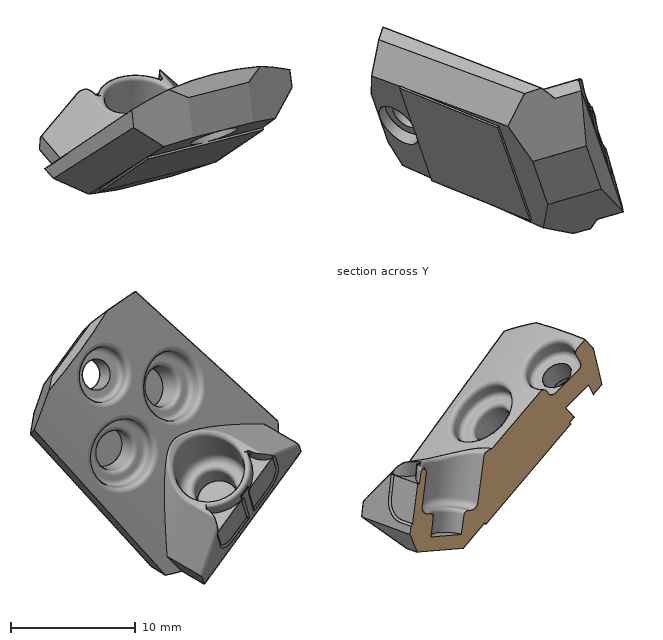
import cadquery as cq
import math

TURN_ANGLE = 10.0
PLATE_ANGLE = 40.0
FOOT_ANGLE = 8.5
FAR = 59.76

PLATE_START = -13.95
PLATE_CREST = 0.82
CROWN_RADIUS = 26.9
PLATE_BOTTOM = -3.57
PLATE_HALF_WIDTH = 7.65
FLANK_TAPER = 2.6
FLANK_LOW = -1.5
UNDER_CHAMFER_RUN = 2.15
TIP_X = 11.1
TIP_CHAMFER_Z = -0.54
TIP_BOTTOM_X = 9.62
TIP_HALF_WIDTH = 2.75
CORNER_BOTTOM = (8.85, 4.96)
PLATE_RIM_ROUND = 0.35

PAD_THICKNESS = 0.18
PAD_X = (-5.1, 5.55)
PAD_WIDTH = 10.55

FOOT_FRONT = -7.95
FOOT_BOTTOM = -8.2
FOOT_HALF_WIDTH = 6.9
FOOT_FLAT_HALF_WIDTH = 2.45
FOOT_SIDE_SLOPE = 19.7
FRONT_CHAMFER_TOP = -6.63
FRONT_CHAMFER_RUN = 0.95
WALL_TOP = -5.2
BOSS_TOP = -1.15
PEAK = 0.2
PEAK_HALF_WIDTH = 2.15
PEAK_REACH = 3.43
SADDLE_X = -4.98
BOSS_X = -4.48
EDGE_ROUND = 0.24
RIM_ROUND = 0.3

BORE_DIAMETER = 3.3
BORE_MOUTH_DIAMETER = 4.0
COUNTERBORE_DIAMETER = 5.62
PAIR_X = 2.17
PAIR_Y = 3.57
PAIR_MOUTH = 0.55
PAIR_LEAN = 8.0
PAIR_COUNTERBORE_DEPTH = 1.45
PAIR_BORE_DEPTH = 2.2
PLATE_FLOOR_ROUND = 0.4
TIP_HOLE_X = 8.0
TIP_BORE_DIAMETER = 2.5
TIP_COUNTERBORE_DIAMETER = 4.46
TIP_COUNTERBORE_DEPTH = 1.45
TIP_BORE_DEPTH = 1.83
TIP_HOLE_LEAN = 6.0
TIP_RELIEF_DIAMETER = 4.0
FOOT_COUNTERBORE_FLOOR = -4.98
FOOT_BORE_FLOOR = -6.97
FOOT_FLOOR_ROUND = 0.6

LEDGE = -2.35
RING_RADIUS = 3.39
CORNER_FRONT = 3.98
CORNER_BEND = (-7.3, 3.3)
CORNER_BACK = (-6.27, 3.03)
RIDGE_TOP = -1.6
RIDGE_CUT_LENGTH = 2.0
RIDGE_CUT_WIDTH = 3.98
PANEL_DEPTH = 0.12
PANEL_INNER = 0.5
PANEL_OUTER = 3.92
PANEL_BOTTOM = -5.74
PANEL_ROUND = 1.4
PANEL_FLARE = 60.0


def trim(body, point, outward):
    """Remove everything on the outward side of a plane."""
    return body.cut(cq.Workplane(cq.Plane(point, normal=outward)).rect(FAR, FAR).extrude(FAR))


def tilt(body, angle):
    return body.rotate((0, 0, 0), (0, 1, 0), angle)


def trim_plate_underside(body):
    """Flat bottom and the sloping chamfers below both flanks."""
    body = trim(body, (0, 0, PLATE_BOTTOM), (0, 0, -1))
    edge = cq.Vector(0, PLATE_HALF_WIDTH, FLANK_LOW)
    along = cq.Vector(1, -math.tan(math.radians(FLANK_TAPER)), 0)
    down = cq.Vector(0, -UNDER_CHAMFER_RUN, PLATE_BOTTOM - FLANK_LOW)
    outward = along.cross(down)
    for side in (1, -1):
        body = trim(body, (0, side * edge.y, edge.z), (outward.x, side * outward.y, outward.z))
    return body


def make_plate():
    """Crowned plate with tapering flanks, a leaning tip and oblique end faces."""
    half = FAR / 6
    shoulder = PLATE_CREST - CROWN_RADIUS + math.sqrt(CROWN_RADIUS**2 - half**2)
    plate = (
        cq.Workplane("YZ", origin=(PLATE_START, 0, 0))
        .moveTo(-half, 2 * PLATE_BOTTOM)
        .lineTo(half, 2 * PLATE_BOTTOM)
        .lineTo(half, shoulder)
        .threePointArc((0, PLATE_CREST), (-half, shoulder))
        .close()
        .extrude(TIP_X - PLATE_START)
    )
    taper = math.radians(FLANK_TAPER)
    tip_drop = TIP_CHAMFER_Z - PLATE_BOTTOM
    tip_lean = TIP_X - TIP_BOTTOM_X
    plate = trim(plate, (TIP_BOTTOM_X, 0, PLATE_BOTTOM), (tip_drop, 0, -tip_lean))
    bottom_edge = cq.Vector(CORNER_BOTTOM[0] - TIP_BOTTOM_X, CORNER_BOTTOM[1] - TIP_HALF_WIDTH, 0)
    outward = bottom_edge.cross(cq.Vector(tip_lean, 0, tip_drop))
    for side in (1, -1):
        plate = trim(plate, (0, side * PLATE_HALF_WIDTH, 0), (math.sin(taper), side * math.cos(taper), 0))
        corner = (TIP_BOTTOM_X, side * TIP_HALF_WIDTH, PLATE_BOTTOM)
        plate = trim(plate, corner, (outward.x, side * outward.y, outward.z))
    return plate


def make_pad():
    """Thin raised pad on the underside of the plate."""
    length = PAD_X[1] - PAD_X[0]
    middle = (PAD_X[0] + PAD_X[1]) / 2
    pad = cq.Workplane("XY", origin=(middle, 0, PLATE_BOTTOM - PAD_THICKNESS))
    return pad.rect(length, PAD_WIDTH).extrude(2 * PAD_THICKNESS)


def foot_outline(half_width, reach, height):
    """Straight-sided outline with an elliptical back that starts beside the foot hole."""
    return (
        cq.Workplane("XY", origin=(0, 0, height))
        .moveTo(FOOT_FRONT, -half_width)
        .lineTo(BOSS_X, -half_width)
        .ellipseArc(reach, half_width, -90, 90, sense=1)
        .lineTo(FOOT_FRONT, half_width)
        .close()
    )


def make_foot():
    """Upright base, flared boss above it, and the saddle that shapes the top of the boss."""
    base = foot_outline(FOOT_HALF_WIDTH, FOOT_HALF_WIDTH, 2 * FOOT_BOTTOM)
    base = base.extrude(WALL_TOP - 2 * FOOT_BOTTOM)
    low = foot_outline(FOOT_HALF_WIDTH, FOOT_HALF_WIDTH, WALL_TOP).wires().val()
    high = foot_outline(PEAK_HALF_WIDTH, PEAK_REACH, PEAK).wires().val()
    boss = cq.Workplane(cq.Solid.makeLoft([low, high], True))
    saddle = (
        cq.Workplane("XZ", origin=(0, FAR / 2, 0))
        .moveTo(2 * FOOT_FRONT, BOSS_TOP)
        .lineTo(SADDLE_X, BOSS_TOP)
        .tangentArcPoint((BOSS_X + PEAK_REACH, PEAK), relative=False)
        .lineTo(BOSS_X + PEAK_REACH, FAR)
        .lineTo(2 * FOOT_FRONT, FAR)
        .close()
        .extrude(FAR)
    )
    return base.union(boss.cut(saddle))


def trim_foot_underside(body):
    """Flat bottom, front chamfer and the two sloping sides below the foot."""
    body = trim(body, (0, 0, FOOT_BOTTOM), (0, 0, -1))
    chamfer_height = FRONT_CHAMFER_TOP - FOOT_BOTTOM
    body = trim(body, (FOOT_FRONT, 0, FRONT_CHAMFER_TOP), (-chamfer_height, 0, -FRONT_CHAMFER_RUN))
    slope = math.radians(FOOT_SIDE_SLOPE)
    for side in (1, -1):
        body = trim(
            body,
            (0, side * FOOT_FLAT_HALF_WIDTH, FOOT_BOTTOM),
            (0, side * math.sin(slope), -math.cos(slope)),
        )
    return body


def stepped_hole(bore, bore_mouth, counterbore, counterbore_depth, total_depth, floor_round):
    """Cutter with its mouth at the origin: rounded counterbore floor, rounded bore mouth."""
    mouth_round = (bore_mouth - bore) / 2
    radius = counterbore / 2
    cutter = cq.Workplane("XY").circle(radius).extrude(-counterbore_depth)
    cutter = cutter.faces("<Z").edges().fillet(floor_round)
    cutter = cutter.union(cq.Workplane("XY").circle(radius).extrude(FAR / 10))
    bore_body = cq.Workplane("XY", origin=(0, 0, -counterbore_depth)).circle(bore / 2)
    cutter = cutter.union(bore_body.extrude(counterbore_depth - total_depth))
    if mouth_round > 0:
        flare = (
            cq.Workplane("XZ", origin=(0, 0, -counterbore_depth))
            .lineTo(bore_mouth / 2, 0)
            .radiusArc((bore / 2, -mouth_round), -mouth_round)
            .lineTo(0, -mouth_round)
            .close()
            .revolve(360, (0, 0), (0, 1))
        )
        cutter = cutter.union(flare)
    return cutter


def cut_plate_holes(body):
    """Two blind stepped holes side by side and a through hole near the tip."""
    pair = stepped_hole(
        BORE_DIAMETER,
        BORE_MOUTH_DIAMETER,
        COUNTERBORE_DIAMETER,
        PAIR_COUNTERBORE_DEPTH,
        PAIR_COUNTERBORE_DEPTH + PAIR_BORE_DEPTH,
        PLATE_FLOOR_ROUND,
    )
    for side in (1, -1):
        hole = pair.rotate((0, 0, 0), (1, 0, 0), -side * PAIR_LEAN)
        body = body.cut(hole.translate((PAIR_X, side * PAIR_Y, PAIR_MOUTH)))
    through = 2 * (PLATE_CREST - PLATE_BOTTOM)
    tip_hole = stepped_hole(
        TIP_BORE_DIAMETER,
        TIP_BORE_DIAMETER,
        TIP_COUNTERBORE_DIAMETER,
        TIP_COUNTERBORE_DEPTH,
        through,
        PLATE_FLOOR_ROUND,
    )
    relief_top = -TIP_COUNTERBORE_DEPTH - TIP_BORE_DEPTH
    relief = cq.Workplane("XY", origin=(0, 0, relief_top)).circle(TIP_RELIEF_DIAMETER / 2)
    tip_hole = tip_hole.union(relief.extrude(-through))
    return body.cut(tilt(tip_hole, TIP_HOLE_LEAN).translate((TIP_HOLE_X, 0, PLATE_CREST)))


def cut_foot_hole(body):
    hole = stepped_hole(
        BORE_DIAMETER,
        BORE_MOUTH_DIAMETER,
        COUNTERBORE_DIAMETER,
        BOSS_TOP - FOOT_COUNTERBORE_FLOOR,
        BOSS_TOP - FOOT_BORE_FLOOR,
        FOOT_FLOOR_ROUND,
    )
    return body.cut(hole.translate((BOSS_X, 0, BOSS_TOP)))


def cut_front_hollows(body):
    """Corner hollows around the ring of the foot hole and two shallow panels in the front face."""
    ring = cq.Workplane("XY", origin=(BOSS_X, 0, LEDGE)).circle(RING_RADIUS).extrude(-2 * LEDGE)
    hollow = (
        cq.Workplane("XY", origin=(0, 0, LEDGE))
        .moveTo(FOOT_FRONT - 0.2, PANEL_INNER)
        .lineTo(FOOT_FRONT - 0.2, CORNER_FRONT)
        .lineTo(FOOT_FRONT, CORNER_FRONT)
        .threePointArc(CORNER_BEND, CORNER_BACK)
        .lineTo(BOSS_X, PANEL_INNER)
        .close()
        .extrude(FAR / 10)
    )
    over_ridge = cq.Workplane("XY", origin=(FOOT_FRONT, 0, RIDGE_TOP))
    over_ridge = over_ridge.rect(RIDGE_CUT_LENGTH, RIDGE_CUT_WIDTH).extrude(FAR / 15)
    hollow = hollow.union(over_ridge).cut(ring)
    panel = (
        cq.Workplane("YZ", origin=(FOOT_FRONT + PANEL_DEPTH, 0, 0))
        .moveTo(PANEL_INNER, LEDGE)
        .lineTo(PANEL_INNER, PANEL_BOTTOM)
        .lineTo(PANEL_OUTER - PANEL_ROUND, PANEL_BOTTOM)
        .radiusArc((PANEL_OUTER, PANEL_BOTTOM + PANEL_ROUND), -PANEL_ROUND)
        .lineTo(PANEL_OUTER, LEDGE)
        .close()
        .extrude(-PANEL_DEPTH, taper=-PANEL_FLARE)
    )
    for cutter in (hollow, panel):
        body = body.cut(cutter).cut(cutter.mirror("XZ"))
    return body


def edge_points(edge):
    return [edge.positionAt(share / 4) for share in range(5)]


def around(edge, x, y, radius, tolerance):
    """True for an edge that runs along an upright cylinder."""
    return all(abs(math.hypot(p.x - x, p.y - y) - radius) < tolerance for p in edge_points(edge))


def round_edges(body, radius, wanted):
    edges = [edge for edge in body.edges().vals() if wanted(edge)]
    return body.newObject([body.val().fillet(radius, edges)])


def round_boss_rim(body):
    """Round the outer top edge of the boss, then the mouth of the foot hole."""
    hole_radius = COUNTERBORE_DIAMETER / 2

    def is_outer(edge):
        middle = edge.Center()
        beside_hole = FOOT_FRONT + 0.2 < middle.x < BOSS_X + PEAK_REACH and middle.z < PEAK
        raised = all(p.z > BOSS_TOP - 0.02 for p in edge_points(edge))
        wide = all(math.hypot(p.x - BOSS_X, p.y) > hole_radius + 0.1 for p in edge_points(edge))
        return beside_hole and raised and wide

    def is_mouth(edge):
        on_wall = around(edge, BOSS_X, 0, hole_radius, 0.01)
        return on_wall and edge.geomType() != "LINE" and edge.Center().z > BOSS_TOP - 0.2

    return round_edges(round_edges(body, EDGE_ROUND, is_outer), RIM_ROUND, is_mouth)


def round_foot_front(body):
    """Round the ring around the hole and the two slanting edges of the front face."""

    def is_ring(edge):
        return around(edge, BOSS_X, 0, RING_RADIUS, 0.01) and abs(edge.Center().z - BOSS_TOP) < 0.02

    def is_slant(edge):
        ends = (edge.startPoint(), edge.endPoint())
        on_front = all(abs(p.x - FOOT_FRONT) < 0.002 and p.z > WALL_TOP - 0.02 for p in ends)
        return on_front and abs(ends[0].y - ends[1].y) > 1.6 and abs(ends[0].z - ends[1].z) > 1.6

    return round_edges(round_edges(body, EDGE_ROUND, is_ring), EDGE_ROUND, is_slant)


def round_plate_mouths(body):
    """Round the mouths of the three plate holes."""
    mouths = (
        (PAIR_X, PAIR_Y, COUNTERBORE_DIAMETER / 2),
        (PAIR_X, -PAIR_Y, COUNTERBORE_DIAMETER / 2),
        (TIP_HOLE_X, 0, TIP_COUNTERBORE_DIAMETER / 2),
    )
    for x, y, radius in mouths:

        def is_mouth(edge):
            on_top = edge.Center().z > -0.1
            return on_top and edge.geomType() != "LINE" and around(edge, x, y, radius, 0.4)

        body = round_edges(body, PLATE_RIM_ROUND, is_mouth)
    return body


body = make_plate().union(tilt(make_foot(), FOOT_ANGLE + PLATE_ANGLE))
body = trim_plate_underside(body).union(make_pad())

body = tilt(body, -PLATE_ANGLE - FOOT_ANGLE)
body = trim_foot_underside(body)
body = round_boss_rim(cut_foot_hole(body))
body = round_foot_front(cut_front_hollows(body))

body = tilt(body, FOOT_ANGLE + PLATE_ANGLE)
body = round_plate_mouths(cut_plate_holes(body))

body = tilt(body, -PLATE_ANGLE)
result = body.rotate((0, 0, 0), (0, 0, 1), TURN_ANGLE)